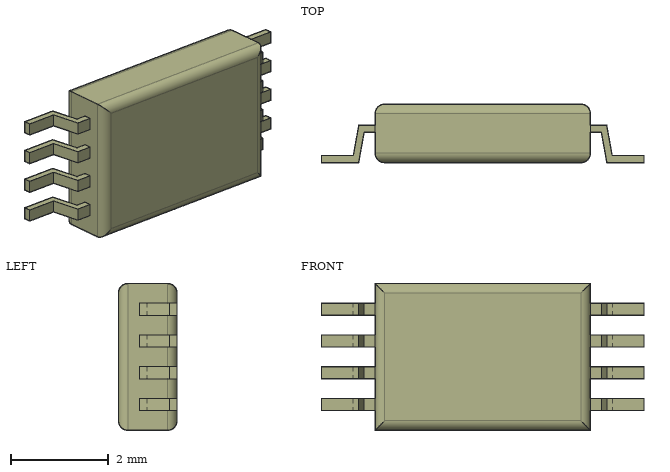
import cadquery as cq

span = 6.6
thickness = 1.2
body_height = 3.0

body_length = 4.4
edge_radius = 0.2

leads_per_side = 4
lead_row_height = 1.95
lead_pitch = lead_row_height / (leads_per_side - 1)
lead_width = 0.25
lead_thickness = 0.15
lead_rise = 0.77
foot_length = 0.765
leg_run = 0.11
embed = 0.065

mount_y = -thickness / 2
tip_x = span / 2
heel_x = tip_x - foot_length
shoulder_x = heel_x - leg_run
foot_back_y = mount_y + lead_thickness
shoulder_back_y = mount_y + lead_rise
shoulder_front_y = shoulder_back_y - lead_thickness
root_x = body_length / 2 - embed


def make_body():
    """Box with every edge of its two large faces rounded."""
    box = cq.Workplane("XY").box(body_length, thickness, body_height)
    return box.faces("<Y or >Y").edges().fillet(edge_radius)


def make_lead(z):
    """Gull-wing lead on the +X side, centred at height z."""
    profile = [
        (tip_x, mount_y),
        (heel_x, mount_y),
        (shoulder_x, shoulder_front_y),
        (root_x, shoulder_front_y),
        (root_x, shoulder_back_y),
        (shoulder_x + leg_run, shoulder_back_y),
        (heel_x + leg_run, foot_back_y),
        (tip_x, foot_back_y),
    ]
    return (
        cq.Workplane("XY", origin=(0, 0, z - lead_width / 2))
        .polyline(profile)
        .close()
        .extrude(lead_width)
    )


result = make_body()
for i in range(leads_per_side):
    lead_z = i * lead_pitch - lead_row_height / 2
    lead = make_lead(lead_z)
    result = result.union(lead).union(lead.mirror("YZ"))